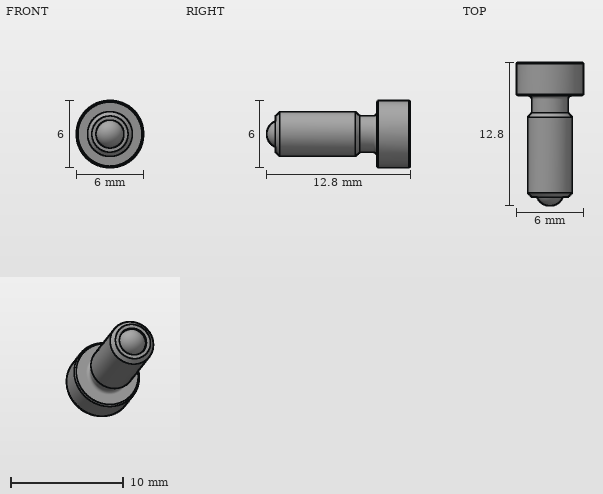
import cadquery as cq
import math

total_length = 12.8
head_diameter = 6.0
head_length = 3.0
head_front_chamfer = 0.15
head_back_chamfer = 0.13
neck_diameter = 3.28
neck_length = 1.5
neck_fillet = 0.3
shank_diameter = 4.0
tip_chamfer = 0.38
shoulder_chamfer_length = 0.4
ball_diameter = 2.5
ball_protrusion = 0.8

head_radius = head_diameter / 2
neck_radius = neck_diameter / 2
shank_radius = shank_diameter / 2
ball_radius = ball_diameter / 2

ball_tip_y = -total_length / 2
ball_center_y = ball_tip_y + ball_radius
shank_front_y = ball_tip_y + ball_protrusion
head_back_y = ball_tip_y + total_length
head_front_y = head_back_y - head_length
neck_front_y = head_front_y - neck_length


def make_ball():
    return cq.Workplane("XY").sphere(ball_radius).translate((0, ball_center_y, 0))


def make_ball_seat():
    """Bore the width of the ball, with a half-round bottom that the ball rests in."""
    bore_length = ball_center_y - shank_front_y
    bore = (
        cq.Workplane("XZ", origin=(0, ball_center_y, 0))
        .circle(ball_radius)
        .extrude(bore_length)
    )
    return bore.union(make_ball())


def make_screw():
    """Head, neck and shank turned as one profile, then bored for the ball."""
    arc_offset = 1 - math.sqrt(0.5)
    neck_arc_mid = (
        neck_radius + neck_fillet * arc_offset,
        head_front_y - neck_fillet * arc_offset,
    )
    profile = (
        cq.Workplane("XY")
        .moveTo(0, shank_front_y)
        .lineTo(shank_radius - tip_chamfer, shank_front_y)
        .lineTo(shank_radius, shank_front_y + tip_chamfer)
        .lineTo(shank_radius, neck_front_y - shoulder_chamfer_length)
        .lineTo(neck_radius, neck_front_y)
        .lineTo(neck_radius, head_front_y - neck_fillet)
        .threePointArc(neck_arc_mid, (neck_radius + neck_fillet, head_front_y))
        .lineTo(head_radius - head_front_chamfer, head_front_y)
        .lineTo(head_radius, head_front_y + head_front_chamfer)
        .lineTo(head_radius, head_back_y - head_back_chamfer)
        .lineTo(head_radius - head_back_chamfer, head_back_y)
        .lineTo(0, head_back_y)
        .close()
    )
    turned_body = profile.revolve(360, (0, 0, 0), (0, 1, 0))
    return turned_body.cut(make_ball_seat())


screw = make_screw()
ball = make_ball()

result = cq.Compound.makeCompound([screw.solids().val(), ball.val()])